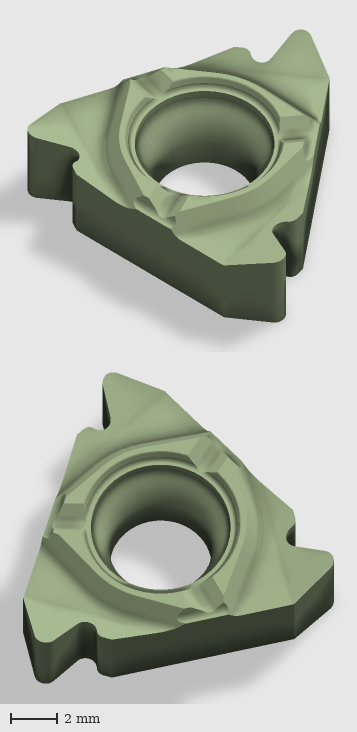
import cadquery as cq
import math

CORNERS = 3
INRADIUS = 4.7625
LAND_HEIGHT = 3.36
TOP_HEIGHT = 4.2
OVERSIZE = 12.0
MARGIN = 0.01

FLANK_SLOPE = math.radians(60)
OUTER_FLANK_OFFSET = 6.528
INNER_FLANK_OFFSET = 0.87
TIP_RADIUS = 0.5
ROOT_RADIUS = 0.5
ROOT_TOP_Y = -5.18
SHOULDER_Y = -5.77
SHOULDER_RADIUS = 0.38

FOLD_Y = -4.715
RAKE_ANGLE = math.radians(15.5)
FOLD_RADIUS = 0.5

BOSS_RADIUS = 3.70
BOSS_ARC = math.radians(32)
BOSS_WALL_ANGLE = math.radians(50)
BOSS_FOOT_RADIUS = 0.42
BOSS_EDGE_RADIUS = 0.04

GROOVE_DIRECTION = -45.0
GROOVE_FLOOR_HEIGHT = 3.745
GROOVE_FLOOR_WIDTH = 0.29
GROOVE_TOP_WIDTH = 1.52
GROOVE_FLOOR_RADIUS = 0.36
GROOVE_OFFSET = -0.045
GROOVE_START = 2.4

LEDGE_FLOOR_HEIGHT = 3.69
LEDGE_DEPTH = 0.29
LEDGE_START = -0.48
LEDGE_END = 1.96
LEDGE_WALL_DRAFT = 20.0
LEDGE_CORNER_RADIUS = 0.3

BORE_RADIUS = 2.2
SEAT_START_HEIGHT = 1.39
SEAT_END = (2.87, 2.97)
COLLAR_RADIUS = 3.02
COLLAR_BOTTOM = 3.28
COLLAR_TOP = 3.74
RECESS_FLOOR_RADIUS = 3.12
RECESS_CORNER_RADIUS = 0.19
RIM_RADIUS = 3.46
RIM_CHAMFER = 0.04


def polar(radius, angle):
    """Point at a radius and an angle in radians."""
    return (radius * math.cos(angle), radius * math.sin(angle))


def shifted(point, radius, angle):
    """Point moved by a radius in the direction of an angle in radians."""
    step = polar(radius, angle)
    return (point[0] + step[0], point[1] + step[1])


def turned(point, degrees):
    """Point turned about the bore axis."""
    angle = math.radians(degrees)
    x, y = point
    return (
        x * math.cos(angle) - y * math.sin(angle),
        x * math.sin(angle) + y * math.cos(angle),
    )


def corner_angles():
    """Turn of each corner about the bore axis, in degrees."""
    return [index * 360 / CORNERS for index in range(CORNERS)]


def around(solid):
    """All copies of a solid, one per corner."""
    return [solid.rotate((0, 0, 0), (0, 0, 1), angle) for angle in corner_angles()]


def outline():
    """Prism of the full plan outline: three long sides with one tooth each."""
    sine, cosine = math.sin(FLANK_SLOPE), math.cos(FLANK_SLOPE)
    outer_normal = 3 * math.pi / 2 - FLANK_SLOPE
    inner_normal = FLANK_SLOPE - math.pi / 2
    down, up = -math.pi / 2, math.pi / 2

    heel = (-INRADIUS, (sine * INRADIUS - OUTER_FLANK_OFFSET) / cosine)
    apex_x = (INNER_FLANK_OFFSET - OUTER_FLANK_OFFSET) / (2 * sine)
    apex_y = -(INNER_FLANK_OFFSET + OUTER_FLANK_OFFSET) / (2 * cosine)
    tip_centre = (apex_x, apex_y + TIP_RADIUS / cosine)

    root_y = ROOT_TOP_Y - ROOT_RADIUS
    root_x = (INNER_FLANK_OFFSET + ROOT_RADIUS + cosine * root_y) / sine
    root_centre = (root_x, root_y)
    shoulder_y = SHOULDER_Y + SHOULDER_RADIUS
    reach = ROOT_RADIUS + SHOULDER_RADIUS
    rise = math.asin((shoulder_y - root_y) / reach)
    shoulder_centre = (root_x + reach * math.cos(rise), shoulder_y)
    shoulder_middle = (rise + math.pi + 3 * math.pi / 2) / 2
    side_start = ((INRADIUS + sine * SHOULDER_Y) / cosine, SHOULDER_Y)

    corner = [
        heel,
        shifted(tip_centre, TIP_RADIUS, outer_normal),
        shifted(tip_centre, TIP_RADIUS, down),
        shifted(tip_centre, TIP_RADIUS, inner_normal),
        shifted(root_centre, ROOT_RADIUS, inner_normal + math.pi),
        shifted(root_centre, ROOT_RADIUS, up),
        shifted(root_centre, ROOT_RADIUS, rise),
        shifted(shoulder_centre, SHOULDER_RADIUS, shoulder_middle),
        shifted(shoulder_centre, SHOULDER_RADIUS, down),
        side_start,
    ]

    path = cq.Workplane("XY").moveTo(*heel)
    for angle in corner_angles():
        placed = [turned(point, angle) for point in corner]
        start, tip_in, tip, tip_out, root_in, root, root_out, bend, bend_out, side = placed
        if angle:
            path = path.lineTo(*start)
        path = path.lineTo(*tip_in).threePointArc(tip, tip_out)
        path = path.lineTo(*root_in).threePointArc(root, root_out)
        path = path.threePointArc(bend, bend_out).lineTo(*side)
    return path.close().extrude(TOP_HEIGHT)


def boss():
    """Land slab with the sloped boss on it and a rounded foot between them."""
    foot_radius = BOSS_RADIUS + (TOP_HEIGHT - LAND_HEIGHT) / math.tan(BOSS_WALL_ANGLE)
    arc_end = -math.pi / 2
    arc_start = arc_end - BOSS_ARC
    corner_span = 2 * math.pi / CORNERS - BOSS_ARC
    corner = polar(foot_radius / math.cos(corner_span / 2), arc_end + corner_span / 2)

    start = polar(foot_radius, arc_start)
    path = cq.Workplane("XY", origin=(0, 0, LAND_HEIGHT)).moveTo(*start)
    for angle in corner_angles():
        if angle:
            path = path.lineTo(*turned(start, angle))
        path = path.threePointArc(
            turned(polar(foot_radius, (arc_start + arc_end) / 2), angle),
            turned(polar(foot_radius, arc_end), angle),
        ).lineTo(*turned(corner, angle))
    draft = 90 - math.degrees(BOSS_WALL_ANGLE)
    raised = path.close().extrude(TOP_HEIGHT - LAND_HEIGHT, taper=draft)
    raised = raised.faces(">Z").edges().fillet(BOSS_EDGE_RADIUS)

    slab = cq.Workplane("XY").circle(OVERSIZE).extrude(LAND_HEIGHT)
    inside = OVERSIZE - MARGIN
    foot_zone = cq.selectors.BoxSelector(
        (-inside, -inside, LAND_HEIGHT - MARGIN),
        (inside, inside, LAND_HEIGHT + MARGIN),
        boundingbox=True,
    )
    return slab.union(raised).edges(foot_zone).fillet(BOSS_FOOT_RADIUS)


def rake_wedge():
    """Wedge that lifts the tooth face toward its tip, blended into the land."""
    tangent = FOLD_RADIUS * math.tan(RAKE_ANGLE / 2)
    blend_centre = (FOLD_Y + tangent, LAND_HEIGHT + FOLD_RADIUS)
    down = -math.pi / 2
    length = OVERSIZE + FOLD_Y
    return (
        cq.Workplane("YZ", origin=(-OVERSIZE / 2, 0, 0))
        .moveTo(FOLD_Y + tangent, 0)
        .lineTo(FOLD_Y + tangent, LAND_HEIGHT)
        .threePointArc(
            shifted(blend_centre, FOLD_RADIUS, down - RAKE_ANGLE / 2),
            shifted(blend_centre, FOLD_RADIUS, down - RAKE_ANGLE),
        )
        .lineTo(-OVERSIZE, LAND_HEIGHT + length * math.tan(RAKE_ANGLE))
        .lineTo(-OVERSIZE, 0)
        .close()
        .extrude(OVERSIZE)
    )


def groove():
    """Radial groove with sloped sides, from the bore to the long side."""
    return (
        cq.Workplane("YZ", origin=(GROOVE_START, 0, 0))
        .polyline([
            (-GROOVE_FLOOR_WIDTH / 2, GROOVE_FLOOR_HEIGHT),
            (GROOVE_FLOOR_WIDTH / 2, GROOVE_FLOOR_HEIGHT),
            (GROOVE_TOP_WIDTH / 2, TOP_HEIGHT),
            (-GROOVE_TOP_WIDTH / 2, TOP_HEIGHT),
        ])
        .close()
        .extrude(OVERSIZE)
        .edges("|X and <Z")
        .fillet(GROOVE_FLOOR_RADIUS)
        .translate((0, GROOVE_OFFSET, 0))
        .rotate((0, 0, 0), (0, 0, 1), GROOVE_DIRECTION)
    )


def ledge():
    """Shallow ledge cut into the boss along the long side that faces -X."""
    rise = TOP_HEIGHT - LEDGE_FLOOR_HEIGHT
    spread = 2 * rise * math.tan(math.radians(LEDGE_WALL_DRAFT))
    return (
        cq.Workplane("XY", origin=(-INRADIUS, -(LEDGE_START + LEDGE_END) / 2, TOP_HEIGHT))
        .rect(2 * LEDGE_DEPTH + spread, LEDGE_END - LEDGE_START + spread)
        .extrude(-rise, taper=LEDGE_WALL_DRAFT)
        .edges("not >Z")
        .fillet(LEDGE_CORNER_RADIUS)
    )


def bore():
    """Through bore with a rounded screw seat, a collar and a stepped recess."""
    seat_rise = SEAT_END[1] - SEAT_START_HEIGHT
    seat_run = SEAT_END[0] - BORE_RADIUS
    seat_radius = (seat_run ** 2 + seat_rise ** 2) / (2 * seat_run)
    half_sweep = math.asin(seat_rise / seat_radius) / 2
    seat_centre = (BORE_RADIUS + seat_radius, SEAT_START_HEIGHT)
    corner_centre = (RECESS_FLOOR_RADIUS, COLLAR_TOP + RECESS_CORNER_RADIUS)
    return (
        cq.Workplane("XZ")
        .moveTo(0, 0)
        .lineTo(BORE_RADIUS, 0)
        .lineTo(BORE_RADIUS, SEAT_START_HEIGHT)
        .threePointArc(shifted(seat_centre, seat_radius, math.pi - half_sweep), SEAT_END)
        .tangentArcPoint((COLLAR_RADIUS, COLLAR_BOTTOM), relative=False)
        .lineTo(COLLAR_RADIUS, COLLAR_TOP)
        .lineTo(RECESS_FLOOR_RADIUS, COLLAR_TOP)
        .threePointArc(
            shifted(corner_centre, RECESS_CORNER_RADIUS, -math.pi / 4),
            shifted(corner_centre, RECESS_CORNER_RADIUS, 0),
        )
        .lineTo(RIM_RADIUS - RIM_CHAMFER, TOP_HEIGHT - RIM_CHAMFER)
        .lineTo(RIM_RADIUS, TOP_HEIGHT)
        .lineTo(0, TOP_HEIGHT)
        .close()
        .revolve(360, (0, 0, 0), (0, 1, 0))
    )


body = boss()
for wedge in around(rake_wedge()):
    body = body.union(wedge)
body = body.intersect(outline())
for cutter in around(groove()) + around(ledge()):
    body = body.cut(cutter)
result = body.cut(bore())